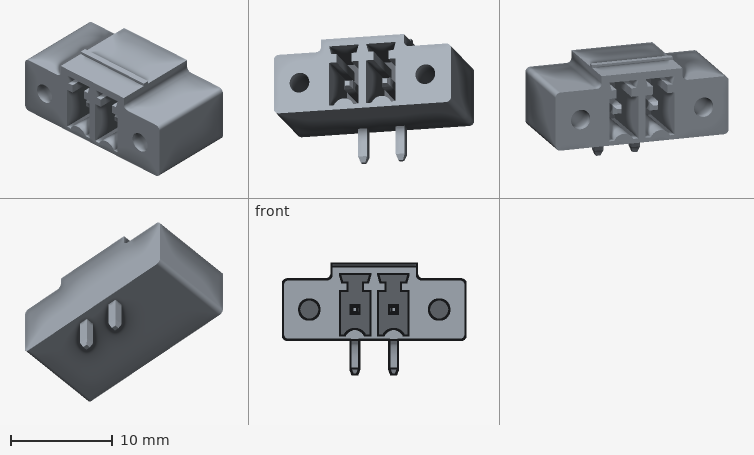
import cadquery as cq

width = 18.01
depth = 9.2
shoulder_height = 5.98
tower_width = 8.43
tower_height = 7.24
edge_radius = 0.5

rib_front = 2.9
rib_length = 0.63
rib_height = 0.29

hole_diameter = 2.0
hole_spacing = 12.79
hole_depth = 7.2
axis_height = shoulder_height / 2

pocket_spacing = 3.76
pocket_depth = 7.2
pocket_width = 3.0
pocket_floor = 0.45
pocket_shoulder = 4.8
neck_width = 1.51
neck_top = 5.67
dovetail_base_width = 2.55
pocket_top = 6.48

key_height = 0.63
key_chord = 1.98

pin_spacing = 3.82
pin_size = 0.9
pin_tip_size = 0.47
pin_taper = 0.6
pin_drop = 3.42
pin_tip_setback = 1.4
pin_leg_y = depth - 1.22


def extrude_back(outline, length):
    """Extrude an outline drawn in X and Z from the front face toward +Y."""
    return outline.extrude(-length)


def make_housing():
    body = cq.Workplane("XY").box(width, depth, shoulder_height, centered=(True, False, False))
    body = body.edges("|Y").fillet(edge_radius)
    tower = cq.Workplane("XY").box(tower_width, depth, tower_height, centered=(True, False, False))
    body = body.union(tower)
    for side in (-1, 1):
        inner_corner = cq.NearestToPointSelector((side * tower_width / 2, depth / 2, shoulder_height))
        body = body.edges("|Y").edges(inner_corner).fillet(edge_radius)
    rib = (
        cq.Workplane("XY", origin=(0, rib_front, tower_height))
        .box(tower_width, rib_length, rib_height, centered=(True, False, False))
    )
    return body.union(rib)


def make_pocket(x):
    right_side = [
        (pocket_width / 2, pocket_floor),
        (pocket_width / 2, pocket_shoulder),
        (neck_width / 2, pocket_shoulder),
        (neck_width / 2, neck_top),
        (dovetail_base_width / 2, neck_top),
        (pocket_width / 2, pocket_top),
    ]
    left_side = [(-px, pz) for px, pz in reversed(right_side)]
    outline = cq.Workplane("XZ", origin=(x, 0, 0)).polyline(right_side + left_side).close()
    return extrude_back(outline, pocket_depth)


def make_key(x):
    outline = (
        cq.Workplane("XZ", origin=(x, 0, 0))
        .moveTo(-key_chord / 2, pocket_floor)
        .threePointArc((0, pocket_floor + key_height), (key_chord / 2, pocket_floor))
        .close()
    )
    return extrude_back(outline, pocket_depth)


def make_square_bar(start, direction, length):
    """Square bar from its tapered tip at start, running along direction."""
    plane = cq.Plane(origin=start, xDir=(1, 0, 0), normal=direction)
    tip = (
        cq.Workplane(plane)
        .rect(pin_tip_size, pin_tip_size)
        .workplane(offset=pin_taper)
        .rect(pin_size, pin_size)
        .loft(ruled=True)
    )
    shank = (
        cq.Workplane(plane)
        .workplane(offset=pin_taper)
        .rect(pin_size, pin_size)
        .extrude(length - pin_taper)
    )
    return tip.union(shank)


def make_pin(x):
    contact_length = pin_leg_y + pin_size / 2 - pin_tip_setback
    leg_length = pin_drop + axis_height + pin_size / 2
    contact = make_square_bar((x, pin_tip_setback, axis_height), (0, 1, 0), contact_length)
    leg = make_square_bar((x, pin_leg_y, -pin_drop), (0, 0, 1), leg_length)
    return contact.union(leg)


result = make_housing()
for side in (-1, 1):
    hole_outline = (
        cq.Workplane("XZ")
        .center(side * hole_spacing / 2, axis_height)
        .circle(hole_diameter / 2)
    )
    result = result.cut(extrude_back(hole_outline, hole_depth))
    result = result.cut(make_pocket(side * pocket_spacing / 2))
    result = result.union(make_key(side * pin_spacing / 2))
    result = result.union(make_pin(side * pin_spacing / 2))